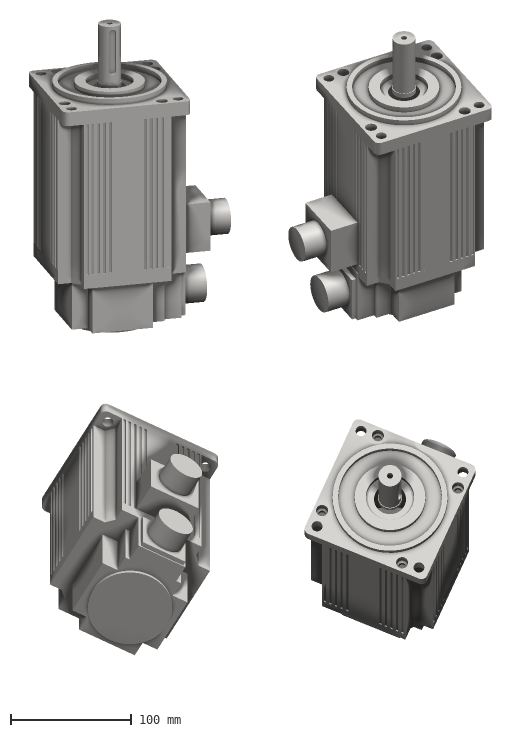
import cadquery as cq
import math

TAIL_DISC_HEIGHT = 3.0
ENCODER_HEIGHT = 45.0
REAR_PLATE_HEIGHT = 12.0
STATOR_HEIGHT = 132.0
FLANGE_HEIGHT = 12.0
PILOT_HEIGHT = 5.0
SHAFT_EXTENSION = 50.0

ENCODER_Z = TAIL_DISC_HEIGHT
REAR_PLATE_Z = ENCODER_Z + ENCODER_HEIGHT
STATOR_Z = REAR_PLATE_Z + REAR_PLATE_HEIGHT
FLANGE_Z = STATOR_Z + STATOR_HEIGHT
FLANGE_FACE_Z = FLANGE_Z + FLANGE_HEIGHT
PILOT_Z = FLANGE_FACE_Z + PILOT_HEIGHT
SHAFT_END_Z = PILOT_Z + SHAFT_EXTENSION

FRAME = 110.0
HALF_FRAME = FRAME / 2
NOTCH_OUTER = 37.5
NOTCH_INNER = 44.0

FLANGE_CORNER_RADIUS = 5.0
MOUNT_CIRCLE = 130.0
MOUNT_HOLE = 9.0
SCREW_X = 31.5
SCREW_Y = 47.7
SCREW_HOLE = 6.0
SCREW_HEAD = 10.0
SCREW_HEAD_DEPTH = 8.0
PILOT_DIAMETER = 95.0
RECESS_OUTER = 86.0
RECESS_INNER = 58.5
RECESS_DEPTH = 5.0
BORE = 40.0
BORE_DEPTH = 5.0
BORE_FLOOR_Z = PILOT_Z - BORE_DEPTH
SHAFT_CLEARANCE = 26.5
WEB_THICKNESS = 1.5

CAVITY_DIAMETER = 95.0

GROOVE_WIDTH = 2.2
GROOVE_DEPTH = 1.2
GROOVE_FIRST = 15.0
GROOVE_PITCH = 5.0
GROOVES_PER_HALF = 5

SHAFT_DIAMETER = 19.0
COLLAR_DIAMETER = 20.0
COLLAR_HEIGHT = 4.3
SHAFT_BASE_Z = PILOT_Z - COLLAR_HEIGHT
KEYWAY_WIDTH = 6.0
KEYWAY_DEPTH = 3.5
KEYWAY_LENGTH = 39.5
KEYWAY_TOP_GAP = 2.5
CENTRE_HOLE = 5.0
CENTRE_DEPTH = 15.0
DRILL_POINT_ANGLE = 118.0

ENCODER_SIDE = 80.0
ENCODER_NOTCH = 13.8
TAIL_DISC_DIAMETER = 70.0

POWER_X = 1.25
POWER_BLOCK_WIDTH = 45.0
POWER_BLOCK_LENGTH = 25.0
POWER_BLOCK_HEIGHT = 42.5
POWER_PLUG_DIAMETER = 30.0
PLUG_LENGTH = 20.0

SIGNAL_BLOCK_WIDTH = 44.0
SIGNAL_BLOCK_FACE_Y = 55.5
SIGNAL_LIP_HEIGHT = 3.0
SIGNAL_PLATE_SIDE = 40.0
SIGNAL_PLATE_THICKNESS = 4.0
SIGNAL_PLATE_LIFT = 1.2
SIGNAL_PLUG_DIAMETER = 32.0


def disc(diameter, z, height):
    return cq.Workplane("XY").workplane(offset=z).circle(diameter / 2).extrude(height)


def quarter_turns(x, y):
    """The point and its copies a quarter, half and three quarters of a turn about Z."""
    return [(x, y), (-y, x), (-x, -y), (y, -x)]


def notched_frame(z, height):
    """Square frame whose four corners are notched down to a diagonal floor."""
    corner = [
        (HALF_FRAME, NOTCH_OUTER),
        (NOTCH_INNER, NOTCH_OUTER),
        (NOTCH_OUTER, NOTCH_INNER),
        (NOTCH_OUTER, HALF_FRAME),
    ]
    outline = []
    for quarter in range(4):
        outline += [quarter_turns(x, y)[quarter] for x, y in corner]
    return cq.Workplane("XY").workplane(offset=z).polyline(outline).close().extrude(height)


def block_on_y(x, width, y_start, y_end, z_start, z_end):
    size = (width, y_end - y_start, z_end - z_start)
    return (
        cq.Workplane("XY")
        .box(*size, centered=(True, False, False))
        .translate((x, y_start, z_start))
    )


def plug_on_y(x, z, diameter, y_start):
    """Round plug pointing along +Y."""
    start = cq.Workplane("XZ", origin=(x, y_start, z))
    return start.circle(diameter / 2).extrude(-PLUG_LENGTH)


def make_flange():
    body = (
        cq.Workplane("XY")
        .workplane(offset=FLANGE_Z)
        .rect(FRAME, FRAME)
        .extrude(FLANGE_HEIGHT)
        .edges("|Z")
        .fillet(FLANGE_CORNER_RADIUS)
        .union(disc(PILOT_DIAMETER, FLANGE_FACE_Z, PILOT_HEIGHT))
    )
    boss = disc(RECESS_INNER, PILOT_Z, -RECESS_DEPTH)
    recess = disc(RECESS_OUTER, PILOT_Z, -RECESS_DEPTH).cut(boss)
    bore = disc(BORE, PILOT_Z, -BORE_DEPTH)
    shaft_hole = disc(SHAFT_CLEARANCE, FLANGE_Z, PILOT_Z - FLANGE_Z)
    cavity = disc(CAVITY_DIAMETER, FLANGE_Z, BORE_FLOOR_Z - WEB_THICKNESS - FLANGE_Z)
    body = body.cut(recess).cut(bore).cut(shaft_hole).cut(cavity)

    mount_offset = MOUNT_CIRCLE / 2 / math.sqrt(2)
    top = cq.Workplane("XY").workplane(offset=FLANGE_FACE_Z)
    mount_holes = (
        top.pushPoints(quarter_turns(mount_offset, mount_offset))
        .circle(MOUNT_HOLE / 2)
        .extrude(-FLANGE_HEIGHT)
    )
    screw_points = quarter_turns(SCREW_X, -SCREW_Y)
    screw_holes = top.pushPoints(screw_points).circle(SCREW_HOLE / 2).extrude(-FLANGE_HEIGHT)
    screw_heads = top.pushPoints(screw_points).circle(SCREW_HEAD / 2).extrude(-SCREW_HEAD_DEPTH)
    return body.cut(mount_holes).cut(screw_holes).cut(screw_heads)


def make_stator():
    body = notched_frame(STATOR_Z, STATOR_HEIGHT).cut(disc(CAVITY_DIAMETER, STATOR_Z, STATOR_HEIGHT))
    for index in range(GROOVES_PER_HALF):
        offset = GROOVE_FIRST + index * GROOVE_PITCH
        for side_offset in (offset, -offset):
            for x, y in quarter_turns(HALF_FRAME, side_offset):
                along_x = abs(x) == HALF_FRAME
                size_x = 2 * GROOVE_DEPTH if along_x else GROOVE_WIDTH
                size_y = GROOVE_WIDTH if along_x else 2 * GROOVE_DEPTH
                groove = (
                    cq.Workplane("XY")
                    .box(size_x, size_y, STATOR_HEIGHT, centered=(True, True, False))
                    .translate((x, y, STATOR_Z))
                )
                body = body.cut(groove)
    return body


def make_rear_plate():
    return notched_frame(REAR_PLATE_Z, REAR_PLATE_HEIGHT)


def make_shaft():
    body = disc(SHAFT_DIAMETER, SHAFT_BASE_Z, SHAFT_END_Z - SHAFT_BASE_Z)
    body = body.union(disc(COLLAR_DIAMETER, SHAFT_BASE_Z, COLLAR_HEIGHT))
    keyway_z = SHAFT_END_Z - KEYWAY_TOP_GAP - KEYWAY_LENGTH / 2
    keyway_floor = SHAFT_DIAMETER / 2 - KEYWAY_DEPTH
    keyway = (
        cq.Workplane("YZ", origin=(keyway_floor, 0, keyway_z))
        .slot2D(KEYWAY_LENGTH, KEYWAY_WIDTH, 90)
        .extrude(SHAFT_DIAMETER)
    )
    centre_hole = disc(CENTRE_HOLE, SHAFT_END_Z, -CENTRE_DEPTH)
    tip_height = CENTRE_HOLE / 2 / math.tan(math.radians(DRILL_POINT_ANGLE / 2))
    drill_tip = cq.Solid.makeCone(
        CENTRE_HOLE / 2, 0, tip_height,
        cq.Vector(0, 0, SHAFT_END_Z - CENTRE_DEPTH), cq.Vector(0, 0, -1),
    )
    return body.cut(keyway).cut(centre_hole).cut(cq.Workplane(drill_tip))


def make_encoder_housing():
    notches = (
        cq.Workplane("XY")
        .workplane(offset=ENCODER_Z)
        .rect(ENCODER_SIDE, ENCODER_SIDE, forConstruction=True)
        .vertices()
        .rect(2 * ENCODER_NOTCH, 2 * ENCODER_NOTCH)
        .extrude(ENCODER_HEIGHT)
    )
    body = cq.Workplane("XY").workplane(offset=ENCODER_Z).rect(ENCODER_SIDE, ENCODER_SIDE)
    body = body.extrude(ENCODER_HEIGHT).cut(notches)
    return body.union(disc(TAIL_DISC_DIAMETER, 0, TAIL_DISC_HEIGHT))


def make_power_connector():
    block_end = HALF_FRAME + POWER_BLOCK_LENGTH
    block = block_on_y(
        POWER_X, POWER_BLOCK_WIDTH, HALF_FRAME, block_end, STATOR_Z, STATOR_Z + POWER_BLOCK_HEIGHT
    )
    plug_z = STATOR_Z + POWER_BLOCK_HEIGHT / 2
    return block.union(plug_on_y(POWER_X, plug_z, POWER_PLUG_DIAMETER, block_end))


def make_signal_connector():
    block = block_on_y(
        0, SIGNAL_BLOCK_WIDTH, ENCODER_SIDE / 2, SIGNAL_BLOCK_FACE_Y, ENCODER_Z, REAR_PLATE_Z
    )
    lip = block_on_y(
        0, SIGNAL_BLOCK_WIDTH, HALF_FRAME, SIGNAL_BLOCK_FACE_Y,
        REAR_PLATE_Z, REAR_PLATE_Z + SIGNAL_LIP_HEIGHT,
    )
    plate_z = ENCODER_Z + SIGNAL_PLATE_LIFT
    plate_end = SIGNAL_BLOCK_FACE_Y + SIGNAL_PLATE_THICKNESS
    plate = block_on_y(
        0, SIGNAL_PLATE_SIDE, SIGNAL_BLOCK_FACE_Y, plate_end, plate_z, plate_z + SIGNAL_PLATE_SIDE
    )
    plug = plug_on_y(0, plate_z + SIGNAL_PLATE_SIDE / 2, SIGNAL_PLUG_DIAMETER, plate_end)
    return block.union(lip).union(plate).union(plug)


flange = make_flange()
stator = make_stator()
rear_plate = make_rear_plate()
shaft = make_shaft()
encoder_housing = make_encoder_housing()
power_connector = make_power_connector()
signal_connector = make_signal_connector()

result = cq.Compound.makeCompound([
    flange.val(),
    stator.val(),
    rear_plate.val(),
    shaft.val(),
    encoder_housing.val(),
    power_connector.val(),
    signal_connector.val(),
])